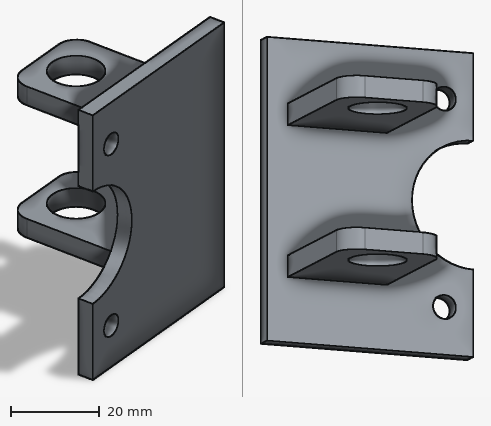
import cadquery as cq

plate_thickness = 4.0
plate_width = 50.0
plate_height = 70.0

lug_length = 35.0
lug_width = 24.0
lug_thickness = 5.0
lug_gap = 30.0
lug_corner_radius = 5.0
lug_side_inset = 5.0
lug_hole_diameter = 13.2
lug_hole_to_tip = 10.0

notch_diameter = 29.7
screw_hole_diameter = 5.5
screw_hole_spacing = 48.0
screw_hole_inset = 7.0

edge_y = plate_width / 2
lug_center_y = edge_y - lug_side_inset - lug_width / 2
lug_offset_z = (lug_gap + lug_thickness) / 2


def make_plate():
    """Rectangular plate with the edge notch and two screw holes."""
    plate = cq.Workplane("YZ").rect(plate_width, plate_height).extrude(plate_thickness)
    notch = (
        cq.Workplane("YZ")
        .center(-edge_y, 0)
        .circle(notch_diameter / 2)
        .extrude(plate_thickness)
    )
    screw_holes = (
        cq.Workplane("YZ")
        .center(screw_hole_inset - edge_y, 0)
        .pushPoints([(0, screw_hole_spacing / 2), (0, -screw_hole_spacing / 2)])
        .circle(screw_hole_diameter / 2)
        .extrude(plate_thickness)
    )
    return plate.cut(notch).cut(screw_holes)


def make_lug(center_z):
    """Flat lug with rounded free corners and a pin hole."""
    lug = (
        cq.Workplane("XY")
        .box(lug_length, lug_width, lug_thickness)
        .translate((-lug_length / 2, lug_center_y, center_z))
        .edges("|Z and <X")
        .fillet(lug_corner_radius)
    )
    pin_hole = (
        cq.Workplane("XY")
        .circle(lug_hole_diameter / 2)
        .extrude(lug_thickness / 2, both=True)
        .translate((lug_hole_to_tip - lug_length, lug_center_y, center_z))
    )
    return lug.cut(pin_hole)


result = make_plate()
for side in (-1, 1):
    result = result.union(make_lug(side * lug_offset_z))